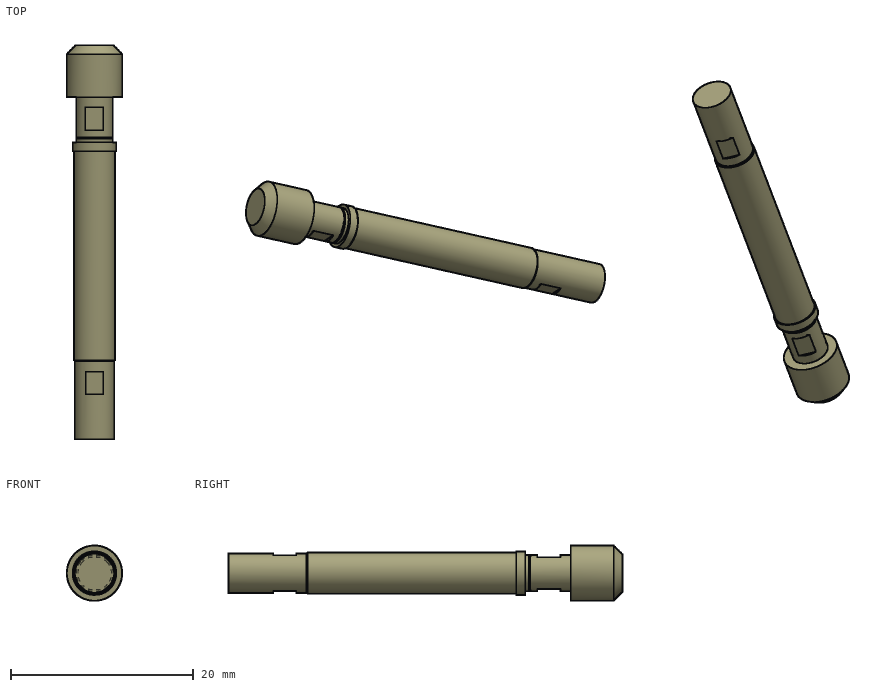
import cadquery as cq

LENGTH = 43.2
HEAD_END = LENGTH / 2
TAIL_END = -LENGTH / 2

HEAD_DIAMETER = 6.1
HEAD_LENGTH = 5.7
HEAD_CHAMFER = 1.0

NECK_DIAMETER = 4.0
NECK_LENGTH = 4.4

NOSE_DIAMETER = NECK_DIAMETER
NOSE_LENGTH = 0.55
NOSE_CHAMFER = 0.17

COLLAR_DIAMETER = 4.8
COLLAR_LENGTH = 1.0
SLEEVE_DIAMETER = 4.55
SLEEVE_LENGTH = 23.0
SLEEVE_CHAMFER = 0.15

TAIL_DIAMETER = 4.35

FLAT_LENGTH = 2.5
NECK_FLAT_HEIGHT = 3.5
TAIL_FLAT_HEIGHT = 3.95
FLAT_OFFSET = 1.12

head_shoulder = HEAD_END - HEAD_LENGTH
nose_start = head_shoulder - NECK_LENGTH
collar_start = nose_start - NOSE_LENGTH
sleeve_start = collar_start - COLLAR_LENGTH
tail_start = sleeve_start - SLEEVE_LENGTH


def cylinder(diameter, start, end):
    """Solid cylinder along Y running from start down to end."""
    return cq.Workplane("XZ", origin=(0, start, 0)).circle(diameter / 2).extrude(start - end)


def cut_flat_pair(body, diameter, height, shoulder):
    """Cut flats a given height apart into the top and bottom of a cylinder behind its shoulder."""
    middle = shoulder - FLAT_OFFSET - FLAT_LENGTH / 2
    depth = (diameter - height) / 2
    for side in (1, -1):
        level = side * (height + depth) / 2
        cutter = cq.Workplane("XY", origin=(0, middle, level)).box(diameter, FLAT_LENGTH, depth)
        body = body.cut(cutter)
    return body


head = cylinder(HEAD_DIAMETER, HEAD_END, head_shoulder).faces(">Y").chamfer(HEAD_CHAMFER)
neck = cylinder(NECK_DIAMETER, head_shoulder, nose_start)
nose = cylinder(NOSE_DIAMETER, nose_start, collar_start).faces(">Y").chamfer(NOSE_CHAMFER)
collar = cylinder(COLLAR_DIAMETER, collar_start, sleeve_start)
sleeve = cylinder(SLEEVE_DIAMETER, sleeve_start, tail_start).faces("<Y").chamfer(SLEEVE_CHAMFER)
tail = cylinder(TAIL_DIAMETER, tail_start, TAIL_END)

pin = head.union(neck).union(nose).union(collar).union(sleeve).union(tail)
pin = cut_flat_pair(pin, NECK_DIAMETER, NECK_FLAT_HEIGHT, head_shoulder)
pin = cut_flat_pair(pin, TAIL_DIAMETER, TAIL_FLAT_HEIGHT, tail_start)

result = pin